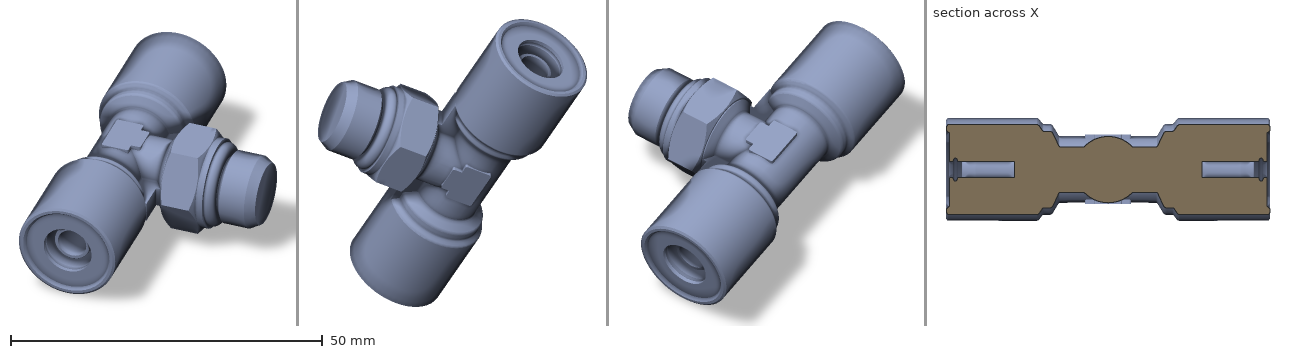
import cadquery as cq
import math


run_length = 52.0
half_run = run_length / 2
socket_radius = 16.5 / 2
neck_radius = 7.305
tube_radius = 5.35
rim_chamfer_width = 0.35
rim_chamfer_length = 0.25

tube_end = 7.75
flare_start = 8.0
flare_start_radius = 5.6
flare_end = 8.9
flare_end_radius = 7.05
neck_start = 9.35
neck_end = 10.3
shoulder_start = 10.6
shoulder_start_radius = 7.5
shoulder_end = 10.95
shoulder_end_radius = 7.95
socket_start = 11.4

recess_mouth_diameter = 14.8
recess_floor_diameter = 14.0
recess_depth = 0.5
tube_hole_diameter = 8.15
tube_hole_depth = 10.4
ring_groove_start = 0.6
ring_groove_width = 0.7
ring_groove_depth = 0.2
nozzle_tip_depth = 2.1
nozzle_tip_diameter = 5.8
nozzle_edge_diameter = 6.0
nozzle_base_diameter = 6.5
nozzle_taper_length = 2.1
bore_diameter = 4.85

collar_radius = 14.0 / 2
branch_tube_end = 7.7
collar_flare_start = 8.0
collar_flare_start_radius = 5.6
collar_flare_end = 8.95
nut_start = 9.1
nut_end = 15.2
nut_flats = 15.0
nut_face_radius = 7.35
nut_chamfer_angle = math.radians(60)
washer_radius = 14.8 / 2
washer_end = 16.3
seal_section_radius = 1.0
seal_center_x = 16.8
seal_outer_radius = 6.9
undercut_radius = 9.8 / 2
undercut_end = 17.9
stud_radius = 12.0 / 2
stud_start = 18.65
stud_chamfer_start = 22.95
stud_tip_radius = 5.1
stud_end = 32.75 - socket_radius

web_thickness = 3.35
web_fillet_radius = 0.35
pad_height = 5.55
pad_left = -2.3
pad_right = 2.3
pad_width = 7.4
pad_corner_radius = 0.3
tab_right = 3.85
tab_width = 4.45


def arc_middle(start, end, bulge):
    """Point beside the chord's middle, offset to its left by bulge."""
    dx = end[0] - start[0]
    dy = end[1] - start[1]
    chord = math.hypot(dx, dy)
    return (
        (start[0] + end[0]) / 2 - bulge * dy / chord,
        (start[1] + end[1]) / 2 + bulge * dx / chord,
    )


def both_ends(half):
    """The +Y half of a run feature together with its mirror image."""
    return half.union(half.mirror("XZ"))


def make_half_run():
    """Outside of the +Y half: tube, flare, neck, shoulder and socket."""
    blend_bulge = 0.05
    tube_edge = (tube_radius, tube_end)
    flare_low = (flare_start_radius, flare_start)
    flare_high = (flare_end_radius, flare_end)
    neck_low = (neck_radius, neck_start)
    neck_high = (neck_radius, neck_end)
    shoulder_low = (shoulder_start_radius, shoulder_start)
    shoulder_high = (shoulder_end_radius, shoulder_end)
    socket_edge = (socket_radius, socket_start)
    return (
        cq.Workplane("XY")
        .moveTo(0, 0)
        .lineTo(tube_radius, 0)
        .lineTo(*tube_edge)
        .threePointArc(arc_middle(tube_edge, flare_low, blend_bulge), flare_low)
        .lineTo(*flare_high)
        .threePointArc(arc_middle(flare_high, neck_low, -blend_bulge), neck_low)
        .lineTo(*neck_high)
        .threePointArc(arc_middle(neck_high, shoulder_low, blend_bulge), shoulder_low)
        .lineTo(*shoulder_high)
        .threePointArc(arc_middle(shoulder_high, socket_edge, -blend_bulge), socket_edge)
        .lineTo(socket_radius, half_run - rim_chamfer_length)
        .lineTo(socket_radius - rim_chamfer_width, half_run)
        .lineTo(0, half_run)
        .close()
        .revolve(360, (0, 0, 0), (0, 1, 0))
    )


def make_socket_cavity():
    """Space around the nozzle: face recess, tube hole and seal groove."""
    face = half_run - recess_depth
    hole_radius = tube_hole_diameter / 2
    groove_outer = face - ring_groove_start
    groove_inner = groove_outer - ring_groove_width
    tip = face - nozzle_tip_depth
    edge_break = (nozzle_edge_diameter - nozzle_tip_diameter) / 2
    nozzle_shoulder = tip - edge_break
    nozzle_base = nozzle_shoulder - nozzle_taper_length
    floor = face - tube_hole_depth
    return (
        cq.Workplane("XY")
        .moveTo(0, half_run)
        .lineTo(recess_mouth_diameter / 2, half_run)
        .lineTo(recess_floor_diameter / 2, face)
        .lineTo(hole_radius, face)
        .lineTo(hole_radius, groove_outer)
        .threePointArc(
            (hole_radius + ring_groove_depth, (groove_outer + groove_inner) / 2),
            (hole_radius, groove_inner),
        )
        .lineTo(hole_radius, floor)
        .lineTo(nozzle_base_diameter / 2, floor)
        .lineTo(nozzle_base_diameter / 2, nozzle_base)
        .lineTo(nozzle_edge_diameter / 2, nozzle_shoulder)
        .lineTo(nozzle_tip_diameter / 2, tip)
        .lineTo(0, tip)
        .close()
        .revolve(360, (0, 0, 0), (0, 1, 0))
    )


def make_branch():
    """Turned branch: tube, collar, nut core, washer face, seal ring and stud."""
    blend_bulge = 0.05
    tube_edge = (branch_tube_end, tube_radius)
    flare_low = (collar_flare_start, collar_flare_start_radius)
    seal_center_radius = seal_outer_radius - seal_section_radius
    seal_offset = seal_center_x - washer_end
    seal_start_radius = seal_center_radius + math.sqrt(seal_section_radius**2 - seal_offset**2)
    seal_end = seal_center_x + seal_section_radius
    return (
        cq.Workplane("XY")
        .moveTo(0, 0)
        .lineTo(0, tube_radius)
        .lineTo(*tube_edge)
        .threePointArc(arc_middle(tube_edge, flare_low, -blend_bulge), flare_low)
        .lineTo(collar_flare_end, collar_radius)
        .lineTo(nut_end, collar_radius)
        .lineTo(nut_end, washer_radius)
        .lineTo(washer_end, washer_radius)
        .lineTo(washer_end, seal_start_radius)
        .threePointArc((seal_center_x, seal_outer_radius), (seal_end, seal_center_radius))
        .lineTo(seal_end, undercut_radius)
        .lineTo(undercut_end, undercut_radius)
        .lineTo(stud_start, stud_radius)
        .lineTo(stud_chamfer_start, stud_radius)
        .lineTo(stud_end, stud_tip_radius)
        .lineTo(stud_end, 0)
        .close()
        .revolve(360, (0, 0, 0), (1, 0, 0))
    )


def make_nut():
    """Hexagon with flats facing +Z and -Z and conical chamfers at both ends."""
    corner_diameter = nut_flats / math.cos(math.radians(30))
    blank = (
        cq.Workplane("YZ", origin=(nut_start, 0, 0))
        .polygon(6, corner_diameter)
        .extrude(nut_end - nut_start)
    )
    nut_middle = (nut_start + nut_end) / 2
    apex_radius = nut_face_radius + (nut_middle - nut_start) * math.tan(nut_chamfer_angle)
    double_cone = (
        cq.Workplane("XY")
        .moveTo(nut_start, 0)
        .lineTo(nut_start, nut_face_radius)
        .lineTo(nut_middle, apex_radius)
        .lineTo(nut_end, nut_face_radius)
        .lineTo(nut_end, 0)
        .close()
        .revolve(360, (0, 0, 0), (1, 0, 0))
    )
    return blank.intersect(double_cone)


def make_web():
    """Flat web filling the corners of the tee and the edge of the collar."""
    between_sockets = (
        cq.Workplane("XY")
        .box(socket_radius, 2 * socket_start, web_thickness, centered=(False, True, True))
    )
    collar_edge = (
        cq.Workplane("YZ")
        .circle(collar_radius)
        .extrude(nut_start)
        .intersect(cq.Workplane("XY").box(2 * nut_start, run_length, web_thickness))
    )
    return between_sockets.union(collar_edge)


def make_pads():
    """Flat marking pads on the top and bottom of the tee's crossing."""
    body = (
        cq.Workplane("XY")
        .rect(pad_right - pad_left, pad_width)
        .extrude(pad_height, both=True)
        .edges("|Z")
        .fillet(pad_corner_radius)
        .translate(((pad_left + pad_right) / 2, 0, 0))
    )
    tab = (
        cq.Workplane("XY")
        .rect(tab_right, tab_width)
        .extrude(pad_height, both=True)
        .edges("|Z and >X")
        .fillet(pad_corner_radius)
        .translate((tab_right / 2, 0, 0))
    )
    return body.union(tab)


def root_profile(plane):
    """Section of a tube's side with the concave fillets down to both web faces."""
    half_web = web_thickness / 2
    center_height = half_web + web_fillet_radius
    center_distance = tube_radius + web_fillet_radius
    center_offset = math.sqrt(center_distance**2 - center_height**2)
    shrink = tube_radius / center_distance
    on_tube = (center_offset * shrink, center_height * shrink)
    middle_angle = (math.atan2(center_height, center_offset) + math.pi / 2) / 2
    on_arc = (
        center_offset - web_fillet_radius * math.cos(middle_angle),
        center_height - web_fillet_radius * math.sin(middle_angle),
    )
    return (
        cq.Workplane(plane)
        .moveTo(0, -on_tube[1])
        .lineTo(on_tube[0], -on_tube[1])
        .threePointArc((on_arc[0], -on_arc[1]), (center_offset, -half_web))
        .lineTo(center_offset, half_web)
        .threePointArc(on_arc, on_tube)
        .lineTo(0, on_tube[1])
        .close()
    )


def make_web_roots():
    """Fillets where the web meets the run tube and both sides of the branch tube."""
    run_root = root_profile("XZ").extrude(flare_end, both=True)
    branch_root = root_profile("YZ").extrude(collar_flare_end)
    return run_root.union(branch_root).union(branch_root.mirror("XZ"))


outside = (
    both_ends(make_half_run())
    .union(make_branch())
    .union(make_nut())
    .union(make_web())
    .union(make_web_roots())
    .union(make_pads())
)
bore = cq.Workplane("XZ").circle(bore_diameter / 2).extrude(half_run, both=True)
result = outside.cut(both_ends(make_socket_cavity())).cut(bore)